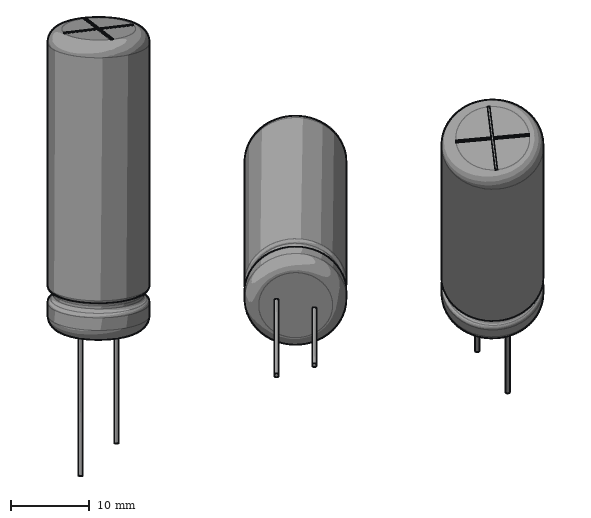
import cadquery as cq
import math

total_length = 60.0
long_lead_length = 20.0
short_lead_length = 15.0
can_height = total_length - long_lead_length
can_radius = 13.0 / 2

rim_radius = 1.8
flat_radius = can_radius - rim_radius

groove_height = 4.6
groove_half_width = 1.15
groove_floor_half_width = 0.2
groove_floor_radius = 11.45 / 2

score_width = 0.3
score_depth = 0.1
score_angles = (45, -45)

lead_diameter = 0.6
lead_spacing = 5.0
lead_embed = 0.6


def make_can():
    """Revolve the can: rounded rims and a groove whose flanks are S-curves of two equal arcs."""
    depth = can_radius - groove_floor_radius
    flank_width = groove_half_width - groove_floor_half_width
    sweep = 2 * math.atan(depth / flank_width)
    arc_radius = flank_width / (2 * math.sin(sweep))

    mid_along = arc_radius * math.sin(sweep / 2)
    mid_in = arc_radius * (1 - math.cos(sweep / 2))
    half_along = flank_width / 2
    half_in = depth / 2

    outer_mid_r = can_radius - mid_in
    inner_mid_r = groove_floor_radius + mid_in
    inflection_r = can_radius - half_in
    outer_mid_z = groove_half_width - mid_along
    inner_mid_z = groove_floor_half_width + mid_along
    inflection_z = groove_floor_half_width + half_along

    rim_mid_r = flat_radius + rim_radius * math.sin(math.pi / 4)
    rim_mid_z = rim_radius * (1 - math.cos(math.pi / 4))

    def below(offset):
        return groove_height - offset

    def above(offset):
        return groove_height + offset

    profile = (
        cq.Workplane("XZ")
        .lineTo(flat_radius, 0)
        .threePointArc((rim_mid_r, rim_mid_z), (can_radius, rim_radius))
        .lineTo(can_radius, below(groove_half_width))
        .threePointArc((outer_mid_r, below(outer_mid_z)), (inflection_r, below(inflection_z)))
        .threePointArc(
            (inner_mid_r, below(inner_mid_z)),
            (groove_floor_radius, below(groove_floor_half_width)),
        )
        .lineTo(groove_floor_radius, above(groove_floor_half_width))
        .threePointArc((inner_mid_r, above(inner_mid_z)), (inflection_r, above(inflection_z)))
        .threePointArc((outer_mid_r, above(outer_mid_z)), (can_radius, above(groove_half_width)))
        .lineTo(can_radius, can_height - rim_radius)
        .threePointArc((rim_mid_r, can_height - rim_mid_z), (flat_radius, can_height))
        .lineTo(0, can_height)
        .close()
    )
    return profile.revolve(360, (0, 0, 0), (0, 1, 0))


def make_score(angle):
    """One vent score running across the whole flat of the top face."""
    bar = (
        cq.Workplane("XY", origin=(0, 0, can_height - score_depth))
        .rect(2 * can_radius, score_width)
        .extrude(score_depth)
        .rotate((0, 0, 0), (0, 0, 1), angle)
    )
    flat = cq.Workplane("XY").circle(flat_radius).extrude(can_height)
    return bar.intersect(flat)


def make_lead(x, length):
    """A straight lead hanging below the can, with its root embedded in it."""
    return (
        cq.Workplane("XY", origin=(x, 0, -length))
        .circle(lead_diameter / 2)
        .extrude(length + lead_embed)
    )


result = make_can()
for score_angle in score_angles:
    result = result.cut(make_score(score_angle))
result = result.union(make_lead(-lead_spacing / 2, long_lead_length))
result = result.union(make_lead(lead_spacing / 2, short_lead_length))